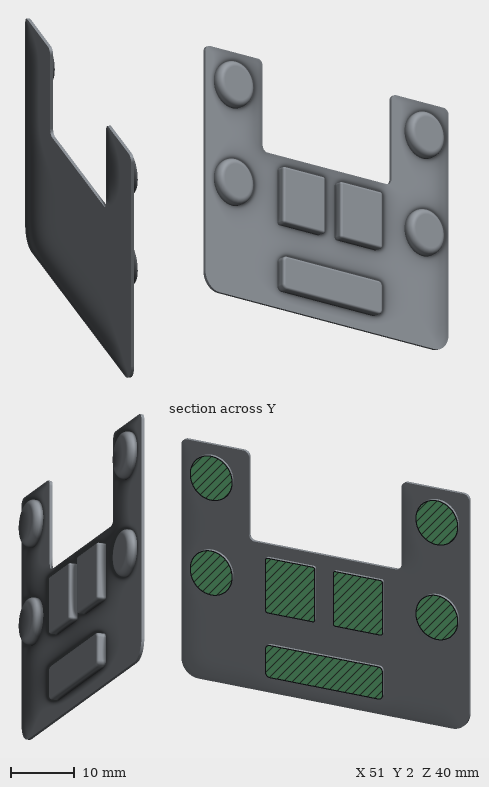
import cadquery as cq

PLATE_WIDTH = 51.0
PLATE_HEIGHT = 40.0
PLATE_THICKNESS = 0.5
BOTTOM_CORNER_RADIUS = 3.0
SMALL_CORNER_RADIUS = 1.0

NOTCH_WIDTH = 27.0
NOTCH_DEPTH = 15.0

PAD_HEIGHT = 1.5

ROUND_PAD_DIAMETER = 7.5
ROUND_PAD_RIM_RADIUS = 1.0
ROUND_PAD_EDGE_DISTANCE = 5.5
ROUND_PAD_PITCH = 16.0
ROUND_PAD_ROWS = 2

PAD_RIM_RADIUS = 0.4
PAIR_PAD_WIDTH = 8.8
PAIR_PAD_HEIGHT = 9.3
PAIR_PAD_GAP = 3.2
PAIR_PAD_TOP_DISTANCE = 17.1
PAIR_PAD_CORNER_RADIUS = 0.4
WIDE_PAD_HEIGHT = 5.5
WIDE_PAD_BOTTOM_DISTANCE = 2.75
WIDE_PAD_CORNER_RADIUS = 0.8

PAD_ROOT = PLATE_THICKNESS / 2
PAD_LENGTH = PLATE_THICKNESS + PAD_HEIGHT - PAD_ROOT


def block(width, depth, height, center_x, start_y, center_z):
    """Box centred in X and Z that runs from start_y toward +Y."""
    return (
        cq.Workplane("XY")
        .box(width, depth, height, centered=(True, False, True))
        .translate((center_x, start_y, center_z))
    )


def make_plate():
    """Sheet with a notch in its top edge; only the bottom corners have the large radius."""
    sheet = block(PLATE_WIDTH, PLATE_THICKNESS, PLATE_HEIGHT, 0, 0, PLATE_HEIGHT / 2)
    sheet = sheet.faces("<Z").edges("|Y").fillet(BOTTOM_CORNER_RADIUS)
    notch = block(NOTCH_WIDTH, PLATE_THICKNESS, 2 * NOTCH_DEPTH, 0, 0, PLATE_HEIGHT)
    notch = notch.faces("<Z").edges("|Y").fillet(SMALL_CORNER_RADIUS)
    plate = sheet.cut(notch)
    return plate.faces(">Z").edges("|Y").fillet(SMALL_CORNER_RADIUS)


def make_round_pad(center_x, center_z):
    """Disc with a rounded rim."""
    disc = cq.Solid.makeCylinder(
        ROUND_PAD_DIAMETER / 2,
        PAD_LENGTH,
        cq.Vector(center_x, PAD_ROOT, center_z),
        cq.Vector(0, 1, 0),
    )
    return cq.Workplane(disc).faces(">Y").edges().fillet(ROUND_PAD_RIM_RADIUS)


def make_rectangular_pad(width, height, corner_radius, center_x, center_z):
    """Rectangular pad with rounded corners and a rounded rim."""
    pad = block(width, PAD_LENGTH, height, center_x, PAD_ROOT, center_z)
    pad = pad.edges("|Y").fillet(corner_radius)
    return pad.faces(">Y").edges().fillet(PAD_RIM_RADIUS)


def add_round_pads(body):
    """Column of round pads along each side edge, starting near the top corners."""
    pad_x = PLATE_WIDTH / 2 - ROUND_PAD_EDGE_DISTANCE
    top_pad_z = PLATE_HEIGHT - ROUND_PAD_EDGE_DISTANCE
    for side in (-1, 1):
        for row in range(ROUND_PAD_ROWS):
            body = body.union(make_round_pad(side * pad_x, top_pad_z - row * ROUND_PAD_PITCH))
    return body


def add_pad_pair(body):
    """Two equal rectangular pads side by side below the notch."""
    pad_x = (PAIR_PAD_WIDTH + PAIR_PAD_GAP) / 2
    pad_z = PLATE_HEIGHT - PAIR_PAD_TOP_DISTANCE - PAIR_PAD_HEIGHT / 2
    for side in (-1, 1):
        pad = make_rectangular_pad(
            PAIR_PAD_WIDTH, PAIR_PAD_HEIGHT, PAIR_PAD_CORNER_RADIUS, side * pad_x, pad_z
        )
        body = body.union(pad)
    return body


def add_wide_pad(body):
    """One pad below the pair, as wide as the pair and its gap together."""
    pad_width = 2 * PAIR_PAD_WIDTH + PAIR_PAD_GAP
    pad_z = WIDE_PAD_BOTTOM_DISTANCE + WIDE_PAD_HEIGHT / 2
    pad = make_rectangular_pad(pad_width, WIDE_PAD_HEIGHT, WIDE_PAD_CORNER_RADIUS, 0, pad_z)
    return body.union(pad)


body = make_plate()
body = add_round_pads(body)
body = add_pad_pair(body)
body = add_wide_pad(body)
result = body